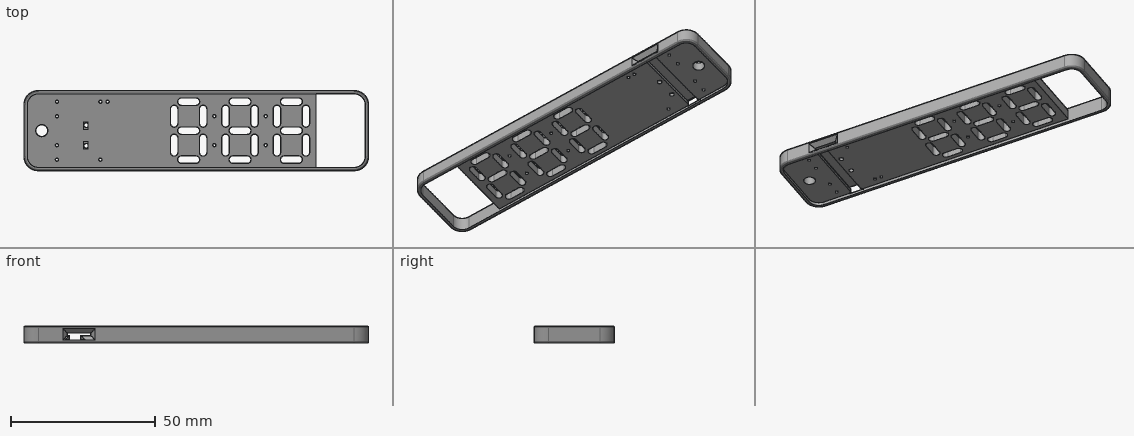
import cadquery as cq

length = 119.2
width = 27.8
height = 5.8
corner_radius = 5.0
edge_radius = 0.5

wall = 1.2
rim_height = 0.8
plate_top = height - rim_height
plate_bottom = 1.2
plate_thickness = plate_top - plate_bottom
plate_end_x = 101.1

half_pitch = 5.0
digit_centers_x = (57.0, 74.8, 92.5)
segment_length = 7.5
segment_width = 2.5

hanging_hole_diameter = 4.0
hanging_hole_x = 6.2
pin_hole_diameter = 1.01
left_pin_x = 11.5
middle_pin_x = 26.5
extra_pin_x = 29.0

flare = 1.5
slot_start_x = 15.0
slot_width = 8.1
slot_center_x = slot_start_x + slot_width / 2
slot_bottom = 2.6
slot_top = 3.5
groove_start_x = 15.7
groove_width = 3.9
groove_center_x = groove_start_x + groove_width / 2
groove_bottom = slot_bottom - flare

peg_hole_x = 21.6
peg_recess_x = 21.3
peg_mid_y = -1.7
peg_hole_spacing = 7.2
peg_hole_diameter = 1.5
peg_recess_spacing = 6.8
peg_recess_length = 2.5


def rounded_block(size_x, size_y, size_z, radius):
    """Block with rounded vertical edges, its -X end at X = 0 and its base at Z = 0."""
    block = cq.Workplane("XY").box(size_x, size_y, size_z, centered=(False, True, False))
    return block.edges("|Z").fillet(radius)


def box_between(x_center, size_x, size_y, z_low, z_high):
    """Box centred on Y = 0 between two heights."""
    box = cq.Workplane("XY").box(size_x, size_y, z_high - z_low, centered=(True, True, False))
    return box.translate((x_center, 0, z_low))


def holes(points, diameter, top=height):
    """Vertical round cutters from the base up to the given height."""
    return cq.Workplane("XY").pushPoints(points).circle(diameter / 2).extrude(top)


def make_body():
    """Rounded bar frame with the plate inside it and an open window at the +X end."""
    outer = rounded_block(length, width, height, corner_radius)
    outer = outer.faces("<Z or >Z").edges().fillet(edge_radius)
    inner = rounded_block(length - 2 * wall, width - 2 * wall, height, corner_radius - wall)
    inner = inner.translate((wall, 0, 0))
    plate = cq.Workplane("XY").box(plate_end_x, width, plate_thickness, centered=(False, True, False))
    plate = plate.translate((0, 0, plate_bottom))
    return outer.cut(inner.cut(plate))


def digit_cutter(center_x):
    """The seven round-ended segments of one digit."""
    level = [(center_x, row * half_pitch) for row in (-2, 0, 2)]
    upright = [(center_x + i * half_pitch, j * half_pitch) for i in (-1, 1) for j in (-1, 1)]
    cutter = cq.Workplane("XY").pushPoints(level).slot2D(segment_length, segment_width)
    cutter = cutter.extrude(height)
    uprights = cq.Workplane("XY").pushPoints(upright).slot2D(segment_length, segment_width, 90)
    return cutter.union(uprights.extrude(height))


def pin_positions():
    """Pin holes at the -X end, and the two dots between neighbouring digits."""
    points = [(left_pin_x, row * half_pitch) for row in (-2, -1, 1, 2)]
    points += [(middle_pin_x, row * half_pitch) for row in (-2, 2)]
    points.append((extra_pin_x, 2 * half_pitch))
    for left, right in zip(digit_centers_x, digit_centers_x[1:]):
        points += [((left + right) / 2, row * half_pitch) for row in (-1, 1)]
    return points


def flared_mouth(x_center, size_x, z_low, z_high, flare_z):
    """Tapered mouth on the -Y side that shrinks by the flare towards the inside."""
    z_center = (z_low + z_high) / 2
    size_z = z_high - z_low
    mouth = cq.Workplane("XZ", origin=(x_center, -width / 2, z_center))
    mouth = mouth.rect(size_x + 2 * flare, size_z + 2 * flare_z)
    return mouth.workplane(offset=-flare).rect(size_x, size_z).loft(ruled=True)


def channel_cutter():
    """T-shaped channel whose narrow groove is open underneath between the side walls."""
    slot = box_between(slot_center_x, slot_width, width, slot_bottom, slot_top)
    groove = box_between(groove_center_x, groove_width, width - 2 * wall, 0, slot_top)
    cutter = slot.union(groove)
    slot_mouth = flared_mouth(slot_center_x, slot_width, slot_bottom, slot_top, flare)
    groove_mouth = flared_mouth(groove_center_x, groove_width, groove_bottom, slot_bottom, 0)
    for mouth in (slot_mouth, groove_mouth):
        cutter = cutter.union(mouth).union(mouth.mirror("XZ"))
    return cutter


def peg_cutter():
    """Two rectangular recesses down to the channel floor, each with a round hole below."""
    hole_points = [(peg_hole_x, peg_mid_y + side * peg_hole_spacing / 2) for side in (-1, 1)]
    recess_points = [(peg_recess_x, peg_mid_y + side * peg_recess_spacing / 2) for side in (-1, 1)]
    recesses = cq.Workplane("XY").workplane(offset=slot_bottom).pushPoints(recess_points)
    recesses = recesses.rect(peg_hole_diameter, peg_recess_length).extrude(height - slot_bottom)
    return recesses.union(holes(hole_points, peg_hole_diameter, slot_bottom))


result = make_body()
for digit_x in digit_centers_x:
    result = result.cut(digit_cutter(digit_x))
result = result.cut(holes([(hanging_hole_x, 0)], hanging_hole_diameter))
result = result.cut(holes(pin_positions(), pin_hole_diameter))
result = result.cut(channel_cutter())
result = result.cut(peg_cutter())
result = result.translate((-length / 2, 0, 0))